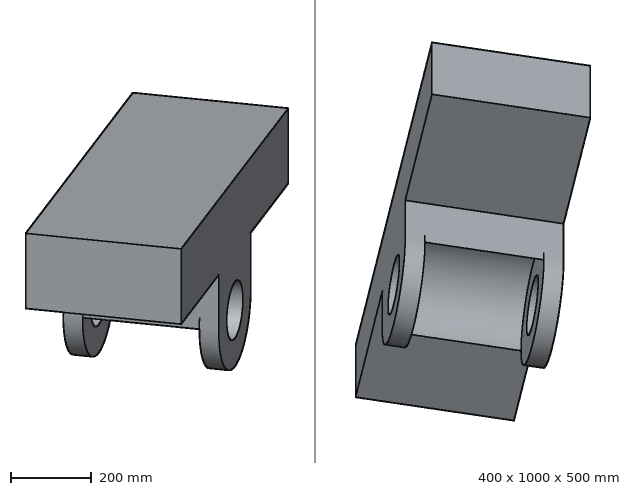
import cadquery as cq

beam_width = 400.0
beam_length = 1000.0
beam_height = 200.0

lug_width = 300.0
lug_thickness = 50.0
lug_radius = lug_width / 2
pin_drop = 150.0
pin_diameter = 150.0
gap_width = beam_width - 2 * lug_thickness


def make_beam():
    return cq.Workplane("XY").box(beam_width, beam_length, beam_height, centered=(True, True, False))


def make_lug_block():
    """Full-width block with a round bottom centred on the pin axis."""
    return (
        cq.Workplane("YZ")
        .moveTo(-lug_radius, 0)
        .lineTo(-lug_radius, -pin_drop)
        .threePointArc((0, -pin_drop - lug_radius), (lug_radius, -pin_drop))
        .lineTo(lug_radius, 0)
        .close()
        .extrude(beam_width / 2, both=True)
    )


def make_gap():
    """Round-topped clearance between the lugs, concentric with the pin hole.

    It has the lug radius, so it touches the beam underside and leaves two
    webs that taper to an edge level with the pin axis.
    """
    return (
        cq.Workplane("YZ")
        .moveTo(-lug_radius, -pin_drop)
        .threePointArc((0, -pin_drop + lug_radius), (lug_radius, -pin_drop))
        .lineTo(lug_radius, -pin_drop - lug_radius)
        .lineTo(-lug_radius, -pin_drop - lug_radius)
        .close()
        .extrude(gap_width / 2, both=True)
    )


def make_pin_hole():
    return (
        cq.Workplane("YZ")
        .center(0, -pin_drop)
        .circle(pin_diameter / 2)
        .extrude(beam_width / 2, both=True)
    )


lugs = make_lug_block().cut(make_gap()).cut(make_pin_hole())
result = make_beam().union(lugs)